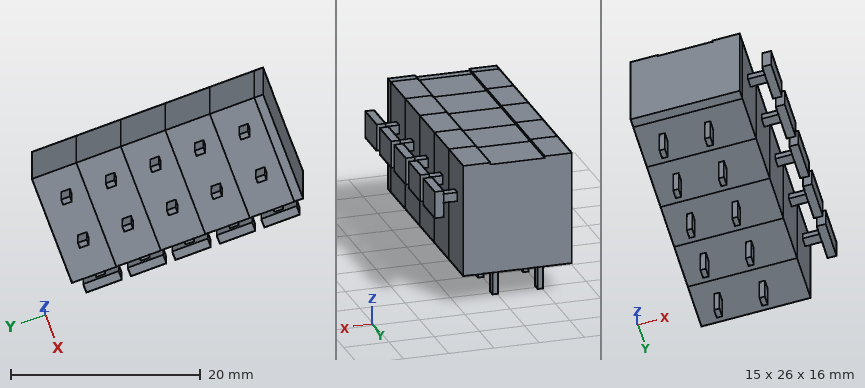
import cadquery as cq


row_length = 26.0
module_count = 5
end_plate_thickness = 1.0
module_pitch = (row_length - end_plate_thickness) / module_count

housing_width = 12.0
housing_height = 12.5
ledge_width = housing_width / 4
channel_width = housing_width - 2 * ledge_width
channel_depth = 0.2

stem_length = 2.0
stem_side = 1.0
head_thickness = 1.0
head_width = 4.0
head_height = 3.0
button_height = 8.25

pin_thickness = 0.6
pin_width = 1.0
pin_length = 3.48
first_pin_x = 2.7
pin_spacing = 5.0
pin_setback = 2.89


def box(size_x, size_y, size_z, corner):
    """Block with its lowest-coordinate corner at the given point."""
    return cq.Workplane("XY").box(size_x, size_y, size_z, centered=False).translate(corner)


def make_channelled_block(y_start, length):
    """Block with a shallow channel running along Y in its top face."""
    block = box(housing_width, length, housing_height, (0, y_start, 0))
    channel = box(
        channel_width, length, channel_depth,
        (ledge_width, y_start, housing_height - channel_depth),
    )
    return block.cut(channel)


def make_button(y_center):
    """Stem and head standing out of the +X face."""
    stem = box(
        stem_length, stem_side, stem_side,
        (housing_width, y_center - stem_side / 2, button_height - stem_side / 2),
    )
    head = box(
        head_thickness, head_width, head_height,
        (housing_width + stem_length, y_center - head_width / 2, button_height - head_height / 2),
    )
    return stem.union(head)


def make_pin(x_center, y_center):
    """Flat solder pin hanging from the underside."""
    return box(
        pin_thickness, pin_width, pin_length,
        (x_center - pin_thickness / 2, y_center - pin_width / 2, -pin_length),
    )


def make_module(y_start):
    """One terminal module with its button and its two pins."""
    module = make_channelled_block(y_start, module_pitch)
    module = module.union(make_button(y_start + module_pitch / 2))
    pin_y = y_start + module_pitch - pin_setback
    for pin_x in (first_pin_x, first_pin_x + pin_spacing):
        module = module.union(make_pin(pin_x, pin_y))
    return module


end_plate = make_channelled_block(0, end_plate_thickness)

modules = []
for index in range(module_count):
    module = make_module(end_plate_thickness + index * module_pitch)
    modules.append(module.val())

result = cq.Compound.makeCompound([end_plate.val(), *modules])